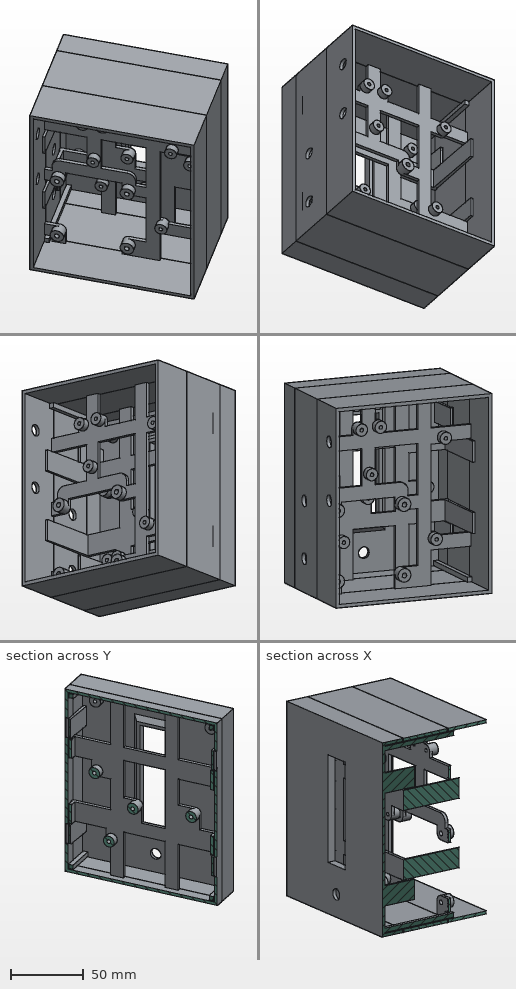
import cadquery as cq

WIDTH = 117.3
HEIGHT = 141.0
WALL = 2.5
FRONT_DEPTH = 32.5
MIDDLE_DEPTH = 37.6
BACK_DEPTH = 17.5
JOINT_GAP = 0.3

MIDDLE_START = FRONT_DEPTH + JOINT_GAP
MIDDLE_END = MIDDLE_START + MIDDLE_DEPTH
BACK_START = MIDDLE_END + JOINT_GAP
BACK_END = BACK_START + BACK_DEPTH
PANEL_FACE = BACK_END - WALL

LEFT = WALL
RIGHT = WIDTH - WALL
FLOOR = WALL
CEILING = HEIGHT - WALL

STRAP = 10.0
STRAP_A = 32.7
STRAP_A_END = STRAP_A + STRAP
STRAP_B = 74.7
STRAP_B_END = STRAP_B + STRAP
FRONT_TOP_STRAP = 103.5
FRONT_TOP_STRAP_END = FRONT_TOP_STRAP + STRAP
FRONT_LOW_STRAP = 27.5
FRONT_LOW_STRAP_END = FRONT_LOW_STRAP + STRAP
MIDDLE_TOP_STRAP_END = 103.2
MIDDLE_TOP_STRAP = MIDDLE_TOP_STRAP_END - STRAP
MIDDLE_LOW_STRAP = 37.9
MIDDLE_LOW_STRAP_END = MIDDLE_LOW_STRAP + STRAP

TAB_HEIGHT = 15.0
TAB_OFFSET = 3.0
TAB_ROOT = 5.5
TAB_REACH = 10.0
LONG_TAB_TAPER = 0.8
SHORT_TAB_TAPER = 1.0
LONG_TAB_LOW = MIDDLE_LOW_STRAP
LONG_TAB_HIGH = MIDDLE_TOP_STRAP_END - TAB_HEIGHT
SHORT_TAB_LOW = 22.1
SHORT_TAB_HIGH = 103.8

CATCH_SKIN = 0.59
CATCH_INSET = 7.0
CATCH_LENGTH = 3.0

SMALL_POST = 8.6
SMALL_BORE = 2.5
LARGE_POST = 9.6
LARGE_BORE = 3.4
POST_HEIGHT = 5.0

BOARD_LEFT = 12.5
BOARD_BOTTOM = 12.5
BOARD_PITCH = 49.9
BOARD_RIGHT = BOARD_LEFT + BOARD_PITCH
BOARD_TOP = BOARD_BOTTOM + BOARD_PITCH
BRIDGE_BOTTOM = BOARD_TOP + LARGE_POST / 2
BRIDGE_RADIUS = 5.9

BOARD_PADS = [
    (BOARD_LEFT, BOARD_BOTTOM, LEFT, FLOOR),
    (BOARD_RIGHT, BOARD_BOTTOM, STRAP_B, FLOOR),
    (BOARD_LEFT, BOARD_TOP, LEFT, BRIDGE_BOTTOM),
    (BOARD_RIGHT, BOARD_TOP, STRAP_B, BRIDGE_BOTTOM),
]
FRONT_PADS = [
    (30.3, 117.9, STRAP_A_END, FRONT_TOP_STRAP_END),
    (44.7, 118.6, STRAP_A, FRONT_TOP_STRAP_END),
    (93.6, 106.5, STRAP_B_END, FRONT_TOP_STRAP_END),
    (86.7, 35.8, STRAP_B, FRONT_LOW_STRAP),
]
MIDDLE_PADS = [
    (22.5, 81.0, STRAP_A_END, LONG_TAB_HIGH),
    (52.2, 60.0, STRAP_A, MIDDLE_LOW_STRAP_END),
    (97.0, 63.9, STRAP_B, LONG_TAB_LOW + TAB_HEIGHT),
    (33.7, 30.6, STRAP_A_END, MIDDLE_LOW_STRAP),
]
STRAP_POST = (38.0, 85.7)
BACK_POSTS = [(14.4, 126.5), (103.4, 125.6), (12.1, 36.7)]

PIN = 3.5
PIN_CLEARANCE = 0.35
PIN_TIP = 27.5
PIN_NOTCH_X = 7.6
PIN_NOTCH_Z = 7.3

WINDOW_LEFT = 48.2
WINDOW_BOTTOM = 37.2
WINDOW_WIDTH = 20.3
WINDOW_HEIGHT = 78.0
RIM_WIDTH = 2.4
RIM_HEIGHT = 3.5
RIM_ANGLE = 45

PANEL_HOLE = 8.0
PANEL_HOLE_X = 58.7
PANEL_HOLE_Z = 16.6
SIDE_HOLE = 8.0
FRONT_SIDE_HOLES = [(12.0, 73.5), (12.0, 114.9)]
MIDDLE_SIDE_HOLES = [(54.3, 24.0), (54.3, 64.7)]


def block(x0, x1, y0, y1, z0, z1):
    """Box between two corners; the X pair and the Z pair may come in either order."""
    corner = cq.Vector(min(x0, x1), y0, min(z0, z1))
    return cq.Workplane(cq.Solid.makeBox(abs(x1 - x0), y1 - y0, abs(z1 - z0), corner))


def rod(x, z, diameter, y0, y1):
    """Cylinder along Y."""
    base = cq.Vector(x, y0, z)
    return cq.Workplane(cq.Solid.makeCylinder(diameter / 2, y1 - y0, base, cq.Vector(0, 1, 0)))


def ring(y0, y1):
    """Rectangular wall all round the case."""
    return block(0, WIDTH, y0, y1, 0, HEIGHT).cut(block(LEFT, RIGHT, y0, y1, FLOOR, CEILING))


def pad(x, z, diameter, anchor_x, anchor_z, y0, y1):
    """Plate from a strap corner out to a standoff, with its far corner rounded to the standoff."""
    radius = diameter / 2
    edge_x = x + radius if x > anchor_x else x - radius
    edge_z = z + radius if z > anchor_z else z - radius
    plate = block(anchor_x, edge_x, y0, y1, anchor_z, z)
    plate = plate.union(block(anchor_x, x, y0, y1, anchor_z, edge_z))
    return plate.union(rod(x, z, diameter, y0, y1))


def wall_profile_pair(outline, bottom):
    """An XY outline at the left wall raised by one tab height, and its mirror at the right wall."""
    shape = cq.Workplane("XY", origin=(0, 0, bottom)).polyline(outline).close().extrude(TAB_HEIGHT)
    return [shape, shape.mirror("YZ", (WIDTH / 2, 0, 0))]


def tab_pair(bottom, tip, root, taper):
    """Snap tabs at both side walls, thinner at the tip."""
    outline = [
        (TAB_OFFSET, root),
        (TAB_ROOT, root),
        (TAB_ROOT - taper, tip),
        (TAB_OFFSET, tip),
    ]
    return wall_profile_pair(outline, bottom)


def catch_pair(bottom):
    """Wedge pockets in both side walls, deepest at the end nearer the back joint."""
    deep_end = MIDDLE_END - CATCH_INSET
    outline = [(LEFT, deep_end), (CATCH_SKIN, deep_end), (LEFT, deep_end - CATCH_LENGTH)]
    return wall_profile_pair(outline, bottom)


def join(body, parts):
    for part in parts:
        body = body.union(part)
    return body


def add_pads(body, pads, diameter, y0, y1):
    return join(body, [pad(x, z, diameter, ax, az, y0, y1) for x, z, ax, az in pads])


def add_standoffs(body, places, diameter, bore, base, bore_end):
    """Standoffs rising toward the front from a base face, each with a screw bore."""
    tip = base - POST_HEIGHT
    for x, z in places:
        body = body.union(rod(x, z, diameter, tip, base))
        body = body.cut(rod(x, z, bore, tip, bore_end))
    return body


def pad_centres(pads):
    return [(x, z) for x, z, _, _ in pads]


def cut_side_holes(body, places):
    """Holes through the left wall."""
    for y, z in places:
        base = cq.Vector(0, y, z)
        drill = cq.Solid.makeCylinder(SIDE_HOLE / 2, WALL, base, cq.Vector(1, 0, 0))
        body = body.cut(cq.Workplane(drill))
    return body


def make_front():
    y1 = FRONT_DEPTH
    y0 = y1 - WALL
    bridge_left = BOARD_LEFT - LARGE_POST / 2
    bridge_right = BOARD_RIGHT + LARGE_POST / 2
    bridge = block(bridge_left, bridge_right, y0, y1, BRIDGE_BOTTOM, BRIDGE_BOTTOM + STRAP)
    straps = [
        bridge.edges("|Y and >Z").fillet(BRIDGE_RADIUS),
        block(STRAP_A, STRAP_A_END, y0, y1, BRIDGE_BOTTOM, CEILING),
        block(STRAP_B, STRAP_B_END, y0, y1, FLOOR, CEILING),
        block(LEFT, RIGHT, y0, y1, FRONT_TOP_STRAP, FRONT_TOP_STRAP_END),
        block(STRAP_B, RIGHT, y0, y1, FRONT_LOW_STRAP, FRONT_LOW_STRAP_END),
    ]
    body = join(ring(0, FRONT_DEPTH), straps)
    body = add_pads(body, FRONT_PADS, SMALL_POST, y0, y1)
    body = add_pads(body, BOARD_PADS, LARGE_POST, y0, y1)

    body = body.cut(block(LEFT, PIN_NOTCH_X, y0, y1, FLOOR, PIN_NOTCH_Z))

    small_places = pad_centres(FRONT_PADS) + [STRAP_POST]
    body = add_standoffs(body, small_places, SMALL_POST, SMALL_BORE, y0, y1)
    body = add_standoffs(body, pad_centres(BOARD_PADS), LARGE_POST, LARGE_BORE, y0, y1)
    return cut_side_holes(body, FRONT_SIDE_HOLES)


def make_middle():
    y1 = MIDDLE_END
    y0 = y1 - WALL
    body = ring(MIDDLE_START, MIDDLE_END)
    for bottom in (SHORT_TAB_LOW, SHORT_TAB_HIGH):
        for catch in catch_pair(bottom):
            body = body.cut(catch)

    straps = [
        block(STRAP_A, STRAP_A_END, y0, y1, FLOOR, CEILING),
        block(STRAP_B, STRAP_B_END, y0, y1, FLOOR, CEILING),
        block(STRAP_A, STRAP_B_END, y0, y1, MIDDLE_TOP_STRAP, MIDDLE_TOP_STRAP_END),
        block(STRAP_A, STRAP_B_END, y0, y1, MIDDLE_LOW_STRAP, MIDDLE_LOW_STRAP_END),
    ]
    body = join(body, straps)

    for bottom in (LONG_TAB_LOW, LONG_TAB_HIGH):
        top = bottom + TAB_HEIGHT
        body = body.union(block(LEFT, STRAP_A, y0, y1, bottom, top))
        body = body.union(block(STRAP_B_END, RIGHT, y0, y1, bottom, top))
        body = join(body, tab_pair(bottom, MIDDLE_START - TAB_REACH, y1, LONG_TAB_TAPER))

    body = add_pads(body, MIDDLE_PADS, SMALL_POST, y0, y1)
    body = add_standoffs(body, pad_centres(MIDDLE_PADS), SMALL_POST, SMALL_BORE, y0, y1)
    return cut_side_holes(body, MIDDLE_SIDE_HOLES)


def cut_window(body):
    """Window through the panel, framed by a rim with sloping outer sides."""
    centre = (WINDOW_LEFT + WINDOW_WIDTH / 2, PANEL_FACE, WINDOW_BOTTOM + WINDOW_HEIGHT / 2)
    margin = 2 * (RIM_WIDTH + RIM_HEIGHT)
    rim = cq.Workplane("XZ", origin=centre)
    rim = rim.rect(WINDOW_WIDTH + margin, WINDOW_HEIGHT + margin)
    rim = rim.extrude(RIM_HEIGHT, taper=RIM_ANGLE)
    right = WINDOW_LEFT + WINDOW_WIDTH
    top = WINDOW_BOTTOM + WINDOW_HEIGHT
    rim_face = PANEL_FACE - RIM_HEIGHT
    opening = block(WINDOW_LEFT, right, rim_face, BACK_END, WINDOW_BOTTOM, top)
    return body.union(rim).cut(opening)


def guide_pins():
    near = WALL + PIN_CLEARANCE
    return [
        block(x, x + PIN, PIN_TIP, PANEL_FACE, z, z + PIN)
        for x in (near, WIDTH - near - PIN)
        for z in (near, HEIGHT - near - PIN)
    ]


def make_back():
    panel = block(0, WIDTH, PANEL_FACE, BACK_END, 0, HEIGHT)
    body = ring(BACK_START, BACK_END).union(panel)
    body = cut_window(body)
    body = body.cut(rod(PANEL_HOLE_X, PANEL_HOLE_Z, PANEL_HOLE, PANEL_FACE, BACK_END))
    body = join(body, guide_pins())
    for bottom in (SHORT_TAB_LOW, SHORT_TAB_HIGH):
        body = join(body, tab_pair(bottom, BACK_START - TAB_REACH, PANEL_FACE, SHORT_TAB_TAPER))
    return add_standoffs(body, BACK_POSTS, SMALL_POST, SMALL_BORE, PANEL_FACE, PANEL_FACE)


front = make_front()
middle = make_middle()
back = make_back()
result = cq.Compound.makeCompound(
    [front.solids().val(), middle.solids().val(), back.solids().val()]
)